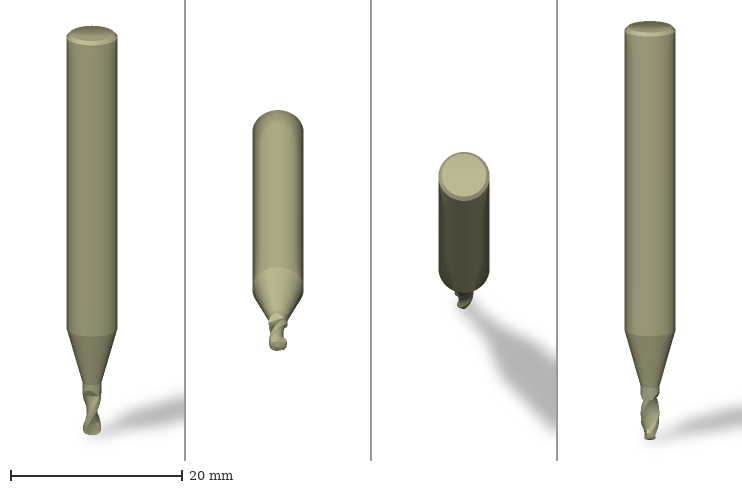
import cadquery as cq

total_length = 50.0
shank_diameter = 6.0
end_chamfer = 0.4
cone_top = 13.35
neck_top = 6.6
neck_diameter = 2.25

head_length = 5.1
web_thickness = 1.25
edge_bulge = 0.1
land_width = 2.0
margin_width = 0.75
tip_diameter = 2.1
tip_corner_radius = 0.6
tip_rise = 0.15
tip_height = 1.6
tip_thickness = 1.0
tip_angle = 28.0
tip_shoulder_radius = 0.7
twist_per_length = 34.0

runout_top = 5.9

shank_radius = shank_diameter / 2
neck_radius = neck_diameter / 2
tip_radius = tip_diameter / 2


def make_runout():
    """Tapered block whose four sides run out into the round neck."""
    height = neck_top - head_length
    flare = (neck_diameter - web_thickness) / (runout_top - head_length)
    top_thickness = web_thickness + flare * height
    return (
        cq.Workplane("XY", origin=(0, 0, head_length))
        .rect(land_width, web_thickness)
        .workplane(offset=height)
        .rect(neck_diameter, top_thickness)
        .loft(combine=True)
    )


def make_shank():
    """Chamfered round shank, taper and neck with the flute run-outs."""
    body = (
        cq.Workplane("XZ")
        .moveTo(0, neck_top)
        .lineTo(neck_radius, neck_top)
        .lineTo(shank_radius, cone_top)
        .lineTo(shank_radius, total_length - end_chamfer)
        .lineTo(shank_radius - end_chamfer, total_length)
        .lineTo(0, total_length)
        .close()
        .revolve(360, (0, 0, 0), (0, 1, 0))
    )
    neck = (
        cq.Workplane("XY", origin=(0, 0, head_length))
        .circle(neck_radius)
        .extrude(neck_top - head_length)
        .intersect(make_runout())
    )
    return body.union(neck)


def make_blade():
    """Twisted two-flute blade: bulging flute faces and slightly rounded lands."""
    twist = twist_per_length * head_length
    edge = land_width / 2
    edge_tip = edge + edge_bulge
    half_margin = margin_width / 2
    half_web = web_thickness / 2
    blade = (
        cq.Workplane("XY")
        .transformed(rotate=(0, 0, -twist))
        .moveTo(-edge, -half_margin)
        .threePointArc((0, -half_web), (edge, -half_margin))
        .threePointArc((edge_tip, 0), (edge, half_margin))
        .threePointArc((0, half_web), (-edge, half_margin))
        .threePointArc((-edge_tip, 0), (-edge, -half_margin))
        .close()
        .twistExtrude(head_length, twist)
    )
    return blade.intersect(make_tip_envelope(neck_radius, head_length))


def make_tip_envelope(radius, height):
    """Slightly flared round bar with the rounded, slightly pointed end of the cutter."""
    return (
        cq.Workplane("XZ")
        .lineTo(tip_radius - tip_corner_radius, tip_rise)
        .radiusArc((tip_radius, tip_rise + tip_corner_radius), -tip_corner_radius)
        .lineTo(radius, height)
        .lineTo(0, height)
        .close()
        .revolve(360, (0, 0, 0), (0, 1, 0))
    )


def make_tip():
    """Flat-sided tip with rounded shoulders, wider than the blade above it."""
    slab = (
        cq.Workplane("XY")
        .transformed(rotate=(0, 0, tip_angle))
        .rect(2 * neck_diameter, tip_thickness)
        .extrude(tip_height)
    )
    envelope = make_tip_envelope(tip_radius, tip_height).faces(">Z").edges().fillet(tip_shoulder_radius)
    return slab.intersect(envelope)


def make_head():
    """Two-flute cutting head, aligned with the run-outs at its top."""
    return make_blade().union(make_tip())


shank = make_shank()
cutting_head = make_head()

result = cq.Compound.makeCompound([shank.val(), cutting_head.val()])